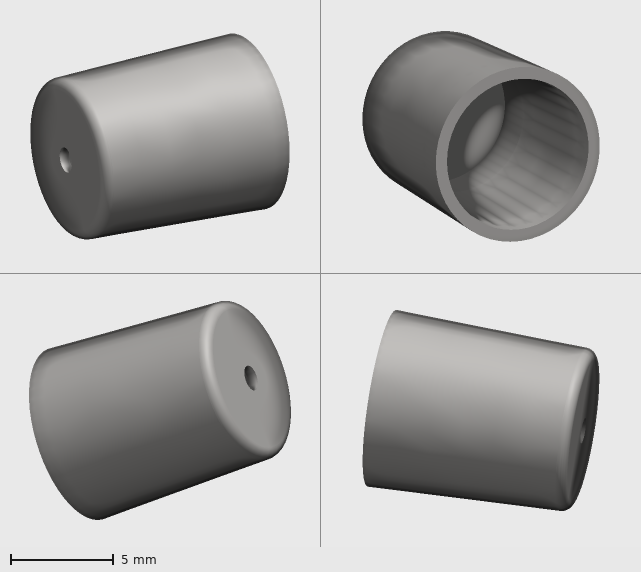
import cadquery as cq

length = 10.0
wide_radius = 4.35
narrow_radius = 4.0
edge_radius = 0.5
hole_radius = 0.625

end_wall = 0.5
cavity_radius = 3.5
straight_end = 2.69
side_slope = (wide_radius - narrow_radius) / length
mouth_radius = cavity_radius + side_slope * (length - straight_end)


def revolve_profile(points):
    """Revolve a closed (radius, Y) outline around the Y axis."""
    return cq.Workplane("XY").polyline(points).close().revolve(360, (0, 0, 0), (0, 1, 0))


body = revolve_profile([(0, 0), (narrow_radius, 0), (wide_radius, length), (0, length)])
body = body.faces("<Y").edges().fillet(edge_radius)

cavity = revolve_profile([
    (0, end_wall),
    (cavity_radius, end_wall),
    (cavity_radius, straight_end),
    (mouth_radius, length),
    (0, length),
])

hole = revolve_profile([(0, 0), (hole_radius, 0), (hole_radius, end_wall), (0, end_wall)])

result = body.cut(cavity).cut(hole)